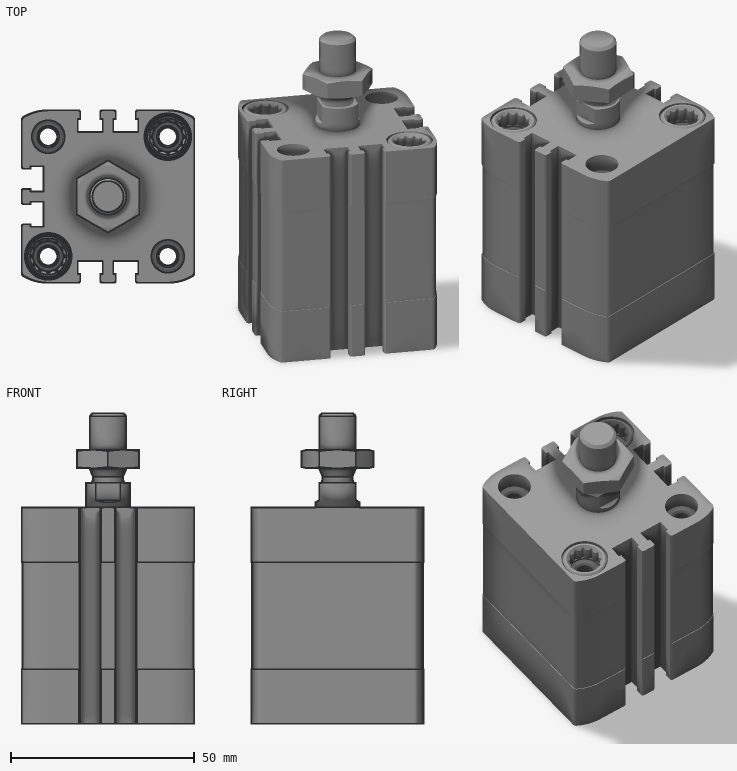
import cadquery as cq
import math


housing_width = 47.0
housing_height = 59.0
cap_height = 14.9
barrel_inset = 0.2
half_width = housing_width / 2

corner_center_x = 16.4
corner_radius = 12.95
corner_blend_radius = 1.1

mouth_near = 2.1
mouth_far = 7.5
undercut_near = 1.4
undercut_far = 8.2
lip_depth = 2.45
slot_depth = 5.9
slot_overrun = 0.85
near_chamfer = 0.3
far_chamfer = 0.4

hole_spacing = 32.6
hole_offset = hole_spacing / 2
thread_diameter = 6.0
core_diameter = 4.9
counterbore_diameter = 9.0
counterbore_depth = 5.0

head_clearance_diameter = 12.8
head_diameter = 11.9
head_clearance_depth = 1.0
head_chamfer = 0.4
countersink_diameter = 10.0
countersink_half_angle = 40.0
socket_tip_diameter = 8.2
socket_groove_diameter = 9.3
socket_tip_width = 0.8
socket_teeth = 12
star_depth = 4.4
socket_depth = 5.0

rod_top = 84.6
rod_diameter = 12.0
thread_rod_diameter = 10.0
thread_end_diameter = 8.5
thread_chamfer_height = 0.8
shoulder_height = 65.65
neck_diameter = 8.2
neck_middle_diameter = 8.5
neck_base_diameter = 8.8
neck_middle_height = 66.2
neck_low_height = 67.0
neck_cone_bottom = 67.3
neck_cone_top = 69.45
wrench_flat_width = 10.0
wrench_flat_bottom = 60.9
wrench_flat_slope = 30.0

nut_across_flats = 17.0
nut_thickness = 5.0
nut_bottom = 69.6
nut_chamfer_angle = 15.0


def corner_arc_points(inset, sign_x, sign_y):
    """Tangent start, middle and end of one corner arc, from the Y side round to the X side."""
    radius = corner_radius - inset
    center_y = half_width - corner_radius
    end_angle = math.acos((half_width - inset - corner_center_x) / radius)
    points = []
    for angle in (math.pi / 2, (math.pi / 2 + end_angle) / 2, end_angle):
        x = corner_center_x + radius * math.cos(angle)
        y = center_y + radius * math.sin(angle)
        points.append((sign_x * x, sign_y * y))
    return points


def make_block(inset, bottom, height):
    """Rounded square block, its outline moved inwards by inset."""
    top_right = corner_arc_points(inset, 1, 1)
    bottom_right = corner_arc_points(inset, 1, -1)[::-1]
    bottom_left = corner_arc_points(inset, -1, -1)
    top_left = corner_arc_points(inset, -1, 1)[::-1]
    outline = cq.Workplane("XY", origin=(0, 0, bottom)).moveTo(*top_left[-1])
    for start, middle, end in (top_right, bottom_right, bottom_left, top_left):
        outline = outline.lineTo(*start).threePointArc(middle, end)
    block = outline.close().extrude(height)
    return block.edges("|Z and (>X or <X)").fillet(corner_blend_radius)


def make_slot_pair(direction):
    """Cutter for the two slots in the side that faces the given direction (degrees from +X)."""
    surface = half_width
    outside = surface + slot_overrun
    lip = surface - lip_depth
    floor = surface - slot_depth
    profile = [
        (outside, mouth_near - near_chamfer),
        (surface, mouth_near - near_chamfer),
        (surface - near_chamfer, mouth_near),
        (lip, mouth_near),
        (lip, undercut_near),
        (floor, undercut_near),
        (floor, undercut_far),
        (lip, undercut_far),
        (lip, mouth_far),
        (surface - far_chamfer, mouth_far),
        (surface, mouth_far + far_chamfer),
        (outside, mouth_far + far_chamfer),
    ]
    slot = cq.Workplane("XY").polyline(profile).close().extrude(housing_height)
    pair = slot.union(slot.mirror("XZ"))
    return pair.rotate((0, 0, 0), (0, 0, 1), direction)


def make_threaded_hole(depth):
    """Cutter for a through hole with a countersunk mouth at the given depth below the top."""
    core = core_diameter / 2
    rim = thread_diameter / 2
    top = housing_height - depth
    profile = [(0, 0), (core, 0), (core, top - (rim - core)), (rim, top), (0, top)]
    return cq.Workplane("XZ").polyline(profile).close().revolve(360, (0, 0), (0, 1))


def make_plain_corner():
    """Cutter for a counterbored corner hole."""
    counterbore = (
        cq.Workplane("XY", origin=(0, 0, housing_height - counterbore_depth))
        .circle(counterbore_diameter / 2)
        .extrude(counterbore_depth)
    )
    return make_threaded_hole(counterbore_depth).union(counterbore)


def make_head_clearance():
    """Cutter for the ring-shaped gap round a screw head, with the chamfer of the head."""
    outer = head_clearance_diameter / 2
    head = head_diameter / 2
    top = housing_height
    profile = [
        (head, top - head_clearance_depth),
        (outer, top - head_clearance_depth),
        (outer, top),
        (head - head_chamfer, top),
        (head, top - head_chamfer),
    ]
    return cq.Workplane("XZ").polyline(profile).close().revolve(360, (0, 0), (0, 1))


def make_star_socket():
    """Cutter for the toothed socket: V grooves between narrow tooth tips, and a round relief below."""
    tip_radius = socket_tip_diameter / 2
    groove_radius = socket_groove_diameter / 2
    pitch = 2 * math.pi / socket_teeth
    half_tip = math.asin(socket_tip_width / 2 / tip_radius)
    points = []
    for tooth in range(socket_teeth):
        groove_angle = tooth * pitch
        tip_angle = groove_angle + pitch / 2
        polar_points = [
            (groove_radius, groove_angle),
            (tip_radius, tip_angle - half_tip),
            (tip_radius, tip_angle + half_tip),
        ]
        for radius, angle in polar_points:
            points.append((radius * math.cos(angle), radius * math.sin(angle)))
    star = cq.Workplane("XY", origin=(0, 0, housing_height - star_depth)).polyline(points).close()
    relief = cq.Workplane("XY", origin=(0, 0, housing_height - socket_depth)).circle(tip_radius)
    return star.extrude(star_depth).union(relief.extrude(socket_depth))


def make_socket_countersink():
    """Cutter for the countersink at the mouth of the socket."""
    radius = countersink_diameter / 2
    apex = housing_height - radius / math.tan(math.radians(countersink_half_angle))
    profile = [(0, housing_height), (radius, housing_height), (0, apex)]
    return cq.Workplane("XZ").polyline(profile).close().revolve(360, (0, 0), (0, 1))


def make_screw_corner():
    """Cutter for a corner with a bearing screw head."""
    return (
        make_threaded_hole(socket_depth)
        .union(make_star_socket())
        .union(make_socket_countersink())
        .union(make_head_clearance())
    )


def make_housing():
    barrel_height = housing_height - 2 * cap_height
    upper_cap_bottom = cap_height + barrel_height
    housing = make_block(0, 0, cap_height)
    housing = housing.union(make_block(barrel_inset, cap_height, barrel_height))
    housing = housing.union(make_block(0, upper_cap_bottom, cap_height))
    for direction in (90, 180, 270):
        housing = housing.cut(make_slot_pair(direction))
    for side in (1, -1):
        plain_position = (-side * hole_offset, side * hole_offset, 0)
        screw_position = (side * hole_offset, side * hole_offset, 0)
        housing = housing.cut(make_plain_corner().translate(plain_position))
        housing = housing.cut(make_screw_corner().translate(screw_position))
    seat = cq.Workplane("XY", origin=(0, 0, upper_cap_bottom)).circle(rod_diameter / 2).extrude(cap_height)
    return housing.cut(seat)


def make_wrench_flat():
    """Cutter for the flat on the +Y side of the rod, with a floor that falls away outwards."""
    flat = wrench_flat_width / 2
    outside = rod_diameter
    drop = (outside - flat) * math.tan(math.radians(wrench_flat_slope))
    profile = [
        (flat, wrench_flat_bottom),
        (outside, wrench_flat_bottom - drop),
        (outside, shoulder_height),
        (flat, shoulder_height),
    ]
    return cq.Workplane("YZ").polyline(profile).close().extrude(rod_diameter / 2, both=True)


def make_rod():
    rod_bottom = housing_height - cap_height
    neck = neck_diameter / 2
    thread = thread_rod_diameter / 2
    rod = (
        cq.Workplane("XZ")
        .moveTo(0, rod_bottom)
        .lineTo(rod_diameter / 2, rod_bottom)
        .lineTo(rod_diameter / 2, shoulder_height)
        .lineTo(neck_base_diameter / 2, shoulder_height)
        .lineTo(neck_middle_diameter / 2, neck_middle_height)
        .lineTo(neck, neck_low_height)
        .lineTo(neck, neck_cone_bottom)
        .lineTo(thread, neck_cone_top)
        .lineTo(thread, rod_top - thread_chamfer_height)
        .lineTo(thread_end_diameter / 2, rod_top)
        .lineTo(0, rod_top)
        .close()
        .revolve(360, (0, 0), (0, 1))
    )
    flat = make_wrench_flat()
    return rod.cut(flat).cut(flat.mirror("XZ"))


def make_nut():
    """Hexagon nut with flats on the X sides and both ends chamfered at the corners."""
    hex_radius = nut_across_flats / math.sqrt(3)
    flat_radius = nut_across_flats / 2
    chamfer_height = (hex_radius - flat_radius) * math.tan(math.radians(nut_chamfer_angle))
    nut_top = nut_bottom + nut_thickness
    flat_turn = 30
    hexagon = (
        cq.Workplane("XY", origin=(0, 0, nut_bottom))
        .polygon(6, 2 * hex_radius)
        .extrude(nut_thickness)
        .rotate((0, 0, 0), (0, 0, 1), flat_turn)
    )
    envelope_profile = [
        (0, nut_bottom),
        (flat_radius, nut_bottom),
        (hex_radius, nut_bottom + chamfer_height),
        (hex_radius, nut_top - chamfer_height),
        (flat_radius, nut_top),
        (0, nut_top),
    ]
    envelope = cq.Workplane("XZ").polyline(envelope_profile).close().revolve(360, (0, 0), (0, 1))
    bore = (
        cq.Workplane("XY", origin=(0, 0, nut_bottom))
        .circle(thread_rod_diameter / 2)
        .extrude(nut_thickness)
    )
    return hexagon.intersect(envelope).cut(bore)


housing = make_housing()
rod = make_rod()
nut = make_nut()

result = cq.Compound.makeCompound([housing.val(), rod.val(), nut.val()])